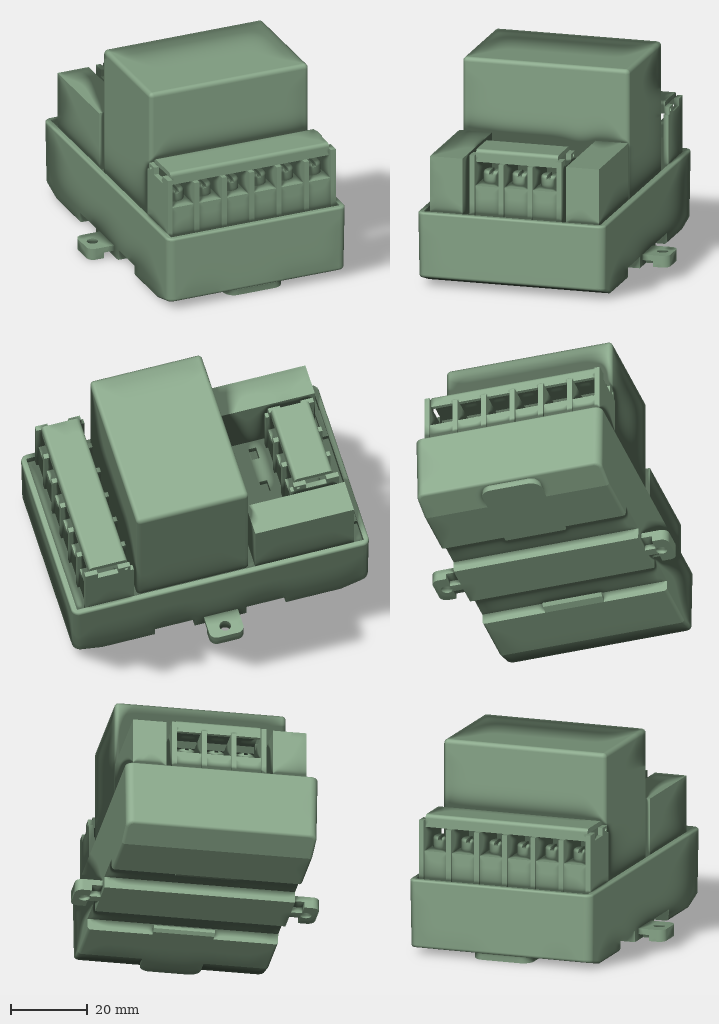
import cadquery as cq
import math

HOUSING_LENGTH = 80.4
HOUSING_WIDTH = 50.8
HOUSING_HEIGHT = 20.0
HOUSING_DRAFT = 0.8
HOUSING_CORNER_RADIUS = 2.0
RIM_TOP_RADIUS = 0.6
RIM_THICKNESS = 1.45
LUG_DEPTH = 1.45
LUG_LENGTH = 8.0
LUG_CENTRE_Y = 13.5
LUG_TOP = 19.4
BOTTOM_EDGE_RADIUS = 0.8
FLAT_BOTTOM_HALF_LENGTH = 32.3
LEFT_SLOPE_RISE = 2.7
RIGHT_SLOPE_RISE = 2.0

RAIL_DEPTH = 3.05
RAIL_LEFT = -17.4
RAIL_RIGHT = 18.0
PAD_LEFT = -6.7
PAD_RIGHT = 7.3
HOOK_REACH = 2.5
HOOK_TIP_SLANT = 0.65
HOOK_ROOT = 0.8
HOOK_HEIGHT = 1.45
HOOK_TIP_HEIGHT = 0.6
CLIP_WIDTH = 16.1
CLIP_HEIGHT = 1.6
CLIP_NOSE_HEIGHT = 0.7
CLIP_NOSE_BEVEL = 0.9
CLIP_LEFT = 15.7
CLIP_RIGHT = 39.2
CLIP_CORNER_RADIUS = 2.9

TAB_SPAN = 64.4
TAB_CENTRE_X = 0.25
TAB_WIDTH = 9.2
TAB_THICKNESS = 3.1
TAB_CORNER_RADIUS = 1.9
TAB_HOLE_DIAMETER = 3.0
TAB_HOLE_SPACING = 58.5
TAB_RELIEF_HEIGHT = 1.6
TAB_RELIEF_HALF_SPAN = 28.05
TAB_WEB_WIDTH = 2.4

LID_DEPTH = 1.9
LID_THICKNESS = 1.6
LID_END_GAP = 0.3
COVER_CENTRE_X = 7.0
COVER_LENGTH = 30.2
COVER_WIDTH = 45.2
COVER_TOP = 53.55
COVER_RADIUS = 1.1
SIDE_BLOCK_LEFT = -36.4
SIDE_BLOCK_LENGTH = 26.7
SIDE_BLOCK_WIDTH = 8.85
SIDE_BLOCK_CENTRE_Y = 18.5
SIDE_BLOCK_TOP = 34.3
WINDOW_CENTRE_X = -18.9
WINDOW_LENGTH = 2.1
WINDOW_WIDTH = 3.4
WINDOW_CENTRES_Y = (-10.3, 0.1, 9.2)

POLE_PITCH = 7.8
SMALL_POLES = 3
SMALL_SPAN = 24.9
SMALL_CENTRE_X = -28.9
LARGE_POLES = 6
LARGE_SPAN = 47.75
LARGE_CENTRE_X = 29.9
WALL_THICKNESS = 1.4
WALL_LENGTH = 13.0
WALL_TOP = 33.1
END_PLATE_TOP = 35.1
HINGE_SIDE_STEP = 0.9
END_WINDOW_LENGTH = 5.55
END_WINDOW_OFFSET = 0.4
HINGE_DIAMETER = 1.0
HINGE_OFFSET = -4.5
HINGE_HEIGHT = 34.25
POLE_LENGTH = 11.8
POLE_TOP = 26.85
FLAP_LENGTH = 10.3
FLAP_TOP = 36.4
FLAP_RADIUS = 1.0
FLAP_WALL = 1.0
SCREW_DIAMETER = 5.3
SCREW_HEAD_HEIGHT = 3.1
SCREW_EDGE_RADIUS = 0.8
SCREW_SLOT_WIDTH = 1.1
SCREW_SLOT_DEPTH = 0.9

RIM_ALLOWANCE = 2 * RIM_TOP_RADIUS * math.tan(math.radians(HOUSING_DRAFT))
LID_TOP = HOUSING_HEIGHT - LID_DEPTH
LID_BOTTOM = LID_TOP - LID_THICKNESS
RECESS_LENGTH = HOUSING_LENGTH - 2 * RIM_THICKNESS
RECESS_WIDTH = HOUSING_WIDTH - 2 * RIM_THICKNESS


def block(x_range, y_range, z_range):
    """Box between the given limits on each axis."""
    size = [high - low for low, high in (x_range, y_range, z_range)]
    corner = (x_range[0], y_range[0], z_range[0])
    return cq.Workplane("XY").box(*size, centered=False).translate(corner)


def middle(length, centre=0.0):
    """Limits of a length centred on the given place."""
    return (centre - length / 2, centre + length / 2)


def profile_bar(points, width):
    """Bar along Y with the given XZ outline, centred on Y = 0."""
    return cq.Workplane("XZ").polyline(points).close().extrude(width / 2, both=True)


def end_slope(side, rise):
    """Wedge cut off the housing bottom at one end; side is -1 or +1."""
    half_length = HOUSING_LENGTH / 2
    points = [
        (side * FLAT_BOTTOM_HALF_LENGTH, 0),
        (side * half_length, 0),
        (side * half_length, rise),
    ]
    return profile_bar(points, HOUSING_WIDTH)


def is_outer_bottom_edge(edge):
    """True for the edges around the underside, not for the creases across it."""
    centre = edge.Center()
    is_low = centre.z < max(LEFT_SLOPE_RISE, RIGHT_SLOPE_RISE)
    is_inside_ends = abs(centre.x) < (FLAT_BOTTOM_HALF_LENGTH + HOUSING_LENGTH / 2) / 2
    runs_across = edge.BoundingBox().ylen > HOUSING_WIDTH / 2
    return is_low and not (runs_across and is_inside_ends)


def drafted_block():
    """Sharp-edged housing block, narrowing towards the bottom."""
    return (
        cq.Workplane("XY", origin=(0, 0, HOUSING_HEIGHT))
        .rect(HOUSING_LENGTH + RIM_ALLOWANCE, HOUSING_WIDTH + RIM_ALLOWANCE)
        .extrude(-HOUSING_HEIGHT, taper=HOUSING_DRAFT)
    )


def housing_tray():
    """Drafted block with rounded edges and sloped bottom ends."""
    tray = drafted_block()
    tray = tray.edges("not(<Z or >Z)").fillet(HOUSING_CORNER_RADIUS)
    tray = tray.cut(end_slope(-1, LEFT_SLOPE_RISE)).cut(end_slope(1, RIGHT_SLOPE_RISE))
    tray = tray.edges().filter(is_outer_bottom_edge).fillet(BOTTOM_EDGE_RADIUS)
    return tray.faces(">Z").edges().fillet(RIM_TOP_RADIUS)


def rail_hook():
    """Fixed hook that grips the rail, pointing into the left channel."""
    tip = RAIL_LEFT + HOOK_REACH
    points = [
        (RAIL_LEFT - HOOK_ROOT, 0),
        (RAIL_LEFT, 0),
        (tip - HOOK_TIP_SLANT, HOOK_TIP_HEIGHT),
        (tip, HOOK_HEIGHT),
        (RAIL_LEFT - HOOK_ROOT, HOOK_HEIGHT),
    ]
    return profile_bar(points, CLIP_WIDTH)


def mounting_tabs():
    """Pair of screw tabs on one strip under the centre pad, relieved below beside a web."""
    x_range = middle(TAB_WIDTH, TAB_CENTRE_X)
    tabs = block(x_range, middle(TAB_SPAN), (0, TAB_THICKNESS))
    tabs = tabs.edges("|Z").fillet(TAB_CORNER_RADIUS)
    relief_y = middle(2 * TAB_RELIEF_HALF_SPAN)
    relief = block(x_range, relief_y, (0, TAB_RELIEF_HEIGHT))
    web = block(middle(TAB_WEB_WIDTH, TAB_CENTRE_X), relief_y, (0, TAB_RELIEF_HEIGHT))
    tabs = tabs.cut(relief.cut(web))
    holes = (
        cq.Workplane("XY", origin=(TAB_CENTRE_X, 0, 0))
        .rarray(0.8, TAB_HOLE_SPACING, 1, 2)
        .circle(TAB_HOLE_DIAMETER / 2)
        .extrude(TAB_THICKNESS)
    )
    return tabs.cut(holes)


def lid_lug(side):
    """Lug on the inside of the rim at the -X end that holds the lid down; side is -1 or +1."""
    rim_inside = -RECESS_LENGTH / 2
    lug_y = middle(LUG_LENGTH, side * LUG_CENTRE_Y)
    return block((rim_inside, rim_inside + LUG_DEPTH), lug_y, (LID_TOP, LUG_TOP))


def make_housing(clip):
    """Tray with rail channels, hook and tabs, recessed for the lid and the clip."""
    housing = housing_tray()
    for x_range in ((RAIL_LEFT, PAD_LEFT), (PAD_RIGHT, RAIL_RIGHT)):
        housing = housing.cut(block(x_range, middle(HOUSING_WIDTH), (0, RAIL_DEPTH)))
    pad_region = block((PAD_LEFT, PAD_RIGHT), middle(HOUSING_WIDTH), (0, RAIL_DEPTH))
    pad = drafted_block().intersect(pad_region)
    housing = housing.union(pad).union(rail_hook()).union(mounting_tabs())
    recess = block(middle(RECESS_LENGTH), middle(RECESS_WIDTH), (LID_BOTTOM, HOUSING_HEIGHT))
    housing = housing.cut(recess).cut(clip)
    for side in (-1, 1):
        housing = housing.union(lid_lug(side))
    return housing


def make_clip():
    """Sliding rail clip, with a bevelled nose opposite the fixed hook."""
    points = [
        (CLIP_LEFT + CLIP_NOSE_BEVEL, 0),
        (CLIP_RIGHT, 0),
        (CLIP_RIGHT, CLIP_HEIGHT),
        (CLIP_LEFT, CLIP_HEIGHT),
        (CLIP_LEFT, CLIP_NOSE_HEIGHT),
    ]
    clip = profile_bar(points, CLIP_WIDTH)
    return clip.edges("|Z and >X").fillet(CLIP_CORNER_RADIUS)


def make_lid():
    """Lid plate with one tall cover and two side blocks raised on it."""
    left = -RECESS_LENGTH / 2
    right = RECESS_LENGTH / 2 - LID_END_GAP
    lid = block((left, right), middle(RECESS_WIDTH), (LID_BOTTOM, LID_TOP))

    cover = block(
        middle(COVER_LENGTH, COVER_CENTRE_X), middle(COVER_WIDTH), (LID_TOP, COVER_TOP)
    )
    lid = lid.union(cover.edges("|Z or >Z").fillet(COVER_RADIUS))

    side_block_x = (SIDE_BLOCK_LEFT, SIDE_BLOCK_LEFT + SIDE_BLOCK_LENGTH)
    for side in (-1, 1):
        side_block_y = middle(SIDE_BLOCK_WIDTH, side * SIDE_BLOCK_CENTRE_Y)
        lid = lid.union(block(side_block_x, side_block_y, (LID_TOP, SIDE_BLOCK_TOP)))

    window_x = middle(WINDOW_LENGTH, WINDOW_CENTRE_X)
    for centre_y in WINDOW_CENTRES_Y:
        window_y = middle(WINDOW_WIDTH, centre_y)
        lid = lid.cut(block(window_x, window_y, (LID_BOTTOM, LID_TOP)))
    return lid


def end_plate(y_range):
    """Terminal end wall, stepped on its hinge side, with a top notch and a hinge hole."""
    half_length = WALL_LENGTH / 2
    lower = block(middle(WALL_LENGTH), y_range, (LID_TOP, WALL_TOP))
    upper = block((HINGE_SIDE_STEP - half_length, half_length), y_range, (WALL_TOP, END_PLATE_TOP))
    notch_x = middle(END_WINDOW_LENGTH, END_WINDOW_OFFSET)
    hinge_hole = (
        cq.Workplane("XZ", origin=(HINGE_OFFSET, y_range[1], HINGE_HEIGHT))
        .circle(HINGE_DIAMETER / 2)
        .extrude(WALL_THICKNESS)
    )
    plate = lower.union(upper)
    return plate.cut(block(notch_x, y_range, (WALL_TOP, END_PLATE_TOP))).cut(hinge_hole)


def terminal_screw():
    """Slotted screw head standing on a pole at Y = 0."""
    head = (
        cq.Workplane("XY", origin=(0, 0, POLE_TOP))
        .circle(SCREW_DIAMETER / 2)
        .extrude(SCREW_HEAD_HEIGHT)
        .faces(">Z")
        .edges()
        .fillet(SCREW_EDGE_RADIUS)
    )
    top = POLE_TOP + SCREW_HEAD_HEIGHT
    slot_y = middle(SCREW_SLOT_WIDTH)
    return head.cut(block(middle(SCREW_DIAMETER), slot_y, (top - SCREW_SLOT_DEPTH, top)))


def terminal_flap(length):
    """Hollow flap with rounded long edges that bridges the end plates over the poles."""
    flap = block(middle(FLAP_LENGTH), middle(length), (WALL_TOP, FLAP_TOP))
    flap = flap.edges("|Y and >Z").fillet(FLAP_RADIUS)
    hollow_x = middle(FLAP_LENGTH - 2 * FLAP_WALL)
    return flap.cut(block(hollow_x, middle(length), (WALL_TOP, END_PLATE_TOP)))


def make_terminal(poles, span):
    """Screw terminal block standing on the lid, centred on the origin, hinge on its -X side."""
    inner_span = span - 2 * WALL_THICKNESS
    terminal = block(middle(POLE_LENGTH), middle(inner_span), (LID_TOP, POLE_TOP))
    terminal = terminal.union(terminal_flap(inner_span))
    terminal = terminal.union(end_plate((-span / 2, -inner_span / 2)))
    terminal = terminal.union(end_plate((inner_span / 2, span / 2)))
    for gap in range(1, poles):
        divider_y = middle(WALL_THICKNESS, (gap - poles / 2) * POLE_PITCH)
        terminal = terminal.union(block(middle(WALL_LENGTH), divider_y, (LID_TOP, WALL_TOP)))
    for pole in range(poles):
        screw_y = (pole - (poles - 1) / 2) * POLE_PITCH
        terminal = terminal.union(terminal_screw().translate((0, screw_y, 0)))
    return terminal


clip = make_clip()
lid = make_lid()
housing = make_housing(clip)
large_terminal = make_terminal(LARGE_POLES, LARGE_SPAN).translate((LARGE_CENTRE_X, 0, 0))
small_terminal = (
    make_terminal(SMALL_POLES, SMALL_SPAN)
    .rotate((0, 0, 0), (0, 0, 1), 180)
    .translate((SMALL_CENTRE_X, 0, 0))
)

result = cq.Compound.makeCompound(
    [housing.val(), lid.val(), clip.val(), small_terminal.val(), large_terminal.val()]
)